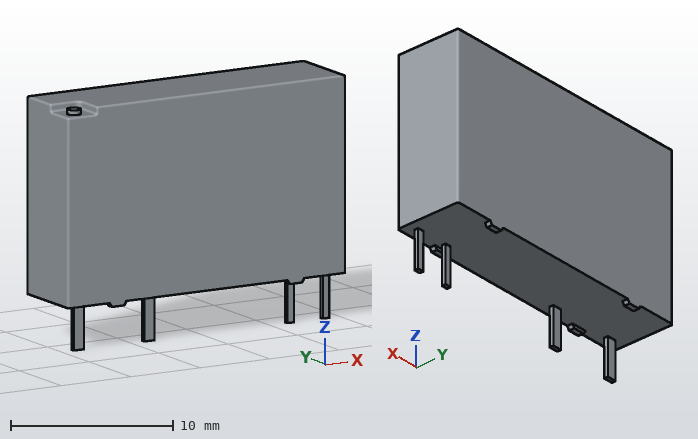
import cadquery as cq

case_length = 20
case_width = 5
case_height = 12.5
edge_radius = 0.15

notch_size = 2.1
notch_depth = 0.5
notch_corner_radius = 0.35
marker_diameter = 0.85
marker_height = 0.3
marker_inset = 1.05

foot_top_length = 1.22
foot_bottom_length = 0.85
foot_height = 0.25
foot_width = 0.45
foot_inset = 3.6

pin_pitch = 2.55
pin_length = 2.9
pin_thickness = 0.3
pin_inset_y = 0.9
first_pin_x = 1.25
coil_pin_width = 0.72
contact_pin_width = 0.48
coil_pin_steps = (0, 2)
contact_pin_steps = (6, 7)


def make_case():
    """Rounded box with the stepped-down notch; the underside keeps sharp edges."""
    case = cq.Workplane("XY").box(case_length, case_width, case_height, centered=False)
    notch = (
        cq.Workplane("XY")
        .box(notch_size, notch_size, notch_depth, centered=False)
        .edges("|Z and >X and >Y")
        .fillet(notch_corner_radius)
        .translate((0, 0, case_height - notch_depth))
    )
    case = case.cut(notch)
    return case.edges("not <Z").fillet(edge_radius)


def make_marker():
    return (
        cq.Workplane("XY", origin=(marker_inset, marker_inset, case_height - notch_depth))
        .circle(marker_diameter / 2)
        .extrude(marker_height)
    )


def make_foot(center_x, start_y):
    """Tapered foot hanging from the underside, extending along +Y from start_y."""
    outline = [
        (center_x - foot_top_length / 2, 0),
        (center_x - foot_bottom_length / 2, -foot_height),
        (center_x + foot_bottom_length / 2, -foot_height),
        (center_x + foot_top_length / 2, 0),
    ]
    return (
        cq.Workplane("XZ", origin=(0, start_y, 0))
        .polyline(outline)
        .close()
        .extrude(-foot_width)
    )


def make_pin(step, width):
    """Flat pin hanging from the underside, a number of pitches from the first pin."""
    return (
        cq.Workplane("XY", origin=(first_pin_x + step * pin_pitch, pin_inset_y, 0))
        .rect(width, pin_thickness)
        .extrude(-pin_length)
    )


result = make_case().union(make_marker())

for foot_x in (foot_inset, case_length - foot_inset):
    for foot_y in (0, case_width - foot_width):
        result = result.union(make_foot(foot_x, foot_y))

for pin_steps, pin_width in (
    (coil_pin_steps, coil_pin_width),
    (contact_pin_steps, contact_pin_width),
):
    for pin_step in pin_steps:
        result = result.union(make_pin(pin_step, pin_width))